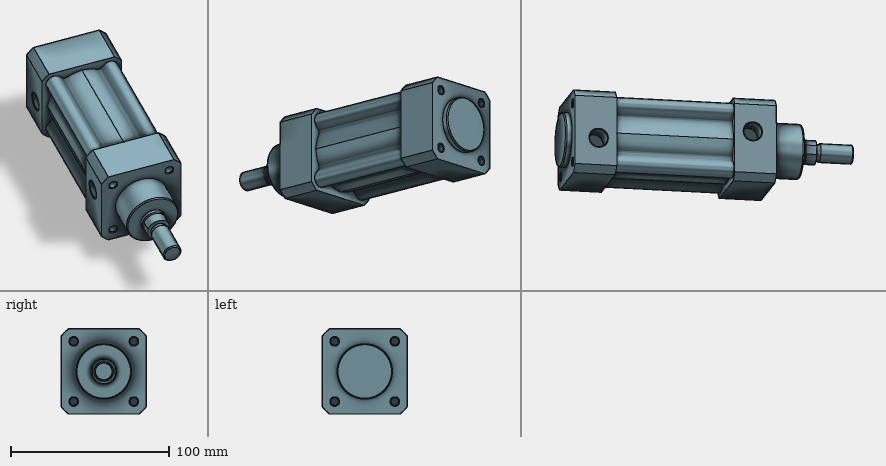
import cadquery as cq
import math

boss_length = 4.1
cap_length = 26.9
barrel_length = 76.0
nose_length = 20.1
total_length = 188.0
rear_cap_start = boss_length
barrel_start = rear_cap_start + cap_length
barrel_end = barrel_start + barrel_length
nose_start = barrel_end + cap_length
rod_start = nose_start + nose_length

cap_side = 54.0
cap_corner_radius = 35.0
spigot_diameter = 35.0
spigot_chamfer_length = 1.0
spigot_chamfer_height = 0.5
screw_spacing = 38.0
screw_hole_diameter = 4.9
screw_hole_depth = 15.0
screw_mouth_diameter = 6.0
port_diameter = 11.5
port_mouth_diameter = 12.5
port_depth = 15.0
port_from_barrel = 11.7
port_offset = 4.7

barrel_radius = 22.7
rib_angles = (45, 135)
rib_radius = 5.3
rib_fillet = 2.5
ridge_half_width = 4.9

collar_radius = 8.0
collar_length = 2.0
shank_radius = 7.7
shank_cone_length = 1.0
shank_end = 10.0
flat_distance = 7.1
flat_entry_distance = 7.9
neck_radius = 5.3
neck_length = 1.3
thread_radius = 6.0
neck_runout = 1.5
tip_chamfer = 0.8


def axial_plane(x):
    """Plane across the axis: local x is Y, local y is Z, normal is +X."""
    return cq.Workplane("YZ", origin=(x, 0, 0))


def countersunk_hole(diameter, mouth_diameter, depth):
    """Cutter along +Z from the origin: a blind hole with a 45 degree countersink at its mouth."""
    countersink = (mouth_diameter - diameter) / 2
    return (
        cq.Workplane("XZ")
        .lineTo(mouth_diameter / 2, 0)
        .lineTo(diameter / 2, countersink)
        .lineTo(diameter / 2, depth)
        .lineTo(0, depth)
        .close()
        .revolve(360, (0, 0, 0), (0, 1, 0))
    )


def make_cap(spigot_length, port_height):
    """End cap with its barrel face at X = 0 and its spigot on the +X side."""
    block = axial_plane(0).rect(cap_side, cap_side).extrude(cap_length)
    block = block.intersect(axial_plane(0).circle(cap_corner_radius).extrude(cap_length))
    spigot_radius = spigot_diameter / 2
    spigot = (
        cq.Workplane("XY", origin=(cap_length, 0, 0))
        .lineTo(0, spigot_radius)
        .lineTo(spigot_length - spigot_chamfer_length, spigot_radius)
        .lineTo(spigot_length, spigot_radius - spigot_chamfer_height)
        .lineTo(spigot_length, 0)
        .close()
        .revolve(360, (0, 0, 0), (1, 0, 0))
    )
    cap = block.union(spigot)

    screw_cutter = countersunk_hole(screw_hole_diameter, screw_mouth_diameter, screw_hole_depth)
    screw_cutter = screw_cutter.rotate((0, 0, 0), (0, 1, 0), -90)
    for y_side in (-1, 1):
        for z_side in (-1, 1):
            place = (cap_length, y_side * screw_spacing / 2, z_side * screw_spacing / 2)
            cap = cap.cut(screw_cutter.translate(place))

    port_cutter = countersunk_hole(port_diameter, port_mouth_diameter, port_depth)
    port_cutter = port_cutter.rotate((0, 0, 0), (1, 0, 0), -90)
    return cap.cut(port_cutter.translate((port_from_barrel, -cap_side / 2, port_height)))


def make_rear_cap():
    """Rear cap: faces backwards, with a short boss and its port below the axis."""
    cap = make_cap(boss_length, -port_offset)
    return cap.mirror("YZ").translate((barrel_start, 0, 0))


def make_front_cap():
    """Front cap: carries the long nose and has its port above the axis."""
    return make_cap(nose_length, port_offset).translate((barrel_end, 0, 0))


def round_rib_roots(body):
    """Fillet the concave corners where the rib flanks meet the round barrel."""
    root_angle = math.radians(rib_angles[0]) - math.asin(rib_radius / barrel_radius)
    root_near = barrel_radius * math.sin(root_angle)
    root_far = barrel_radius * math.cos(root_angle)
    middle = (barrel_start + barrel_end) / 2
    roots = body.newObject([])
    for y_side in (-1, 1):
        for z_side in (-1, 1):
            for y, z in ((root_near, root_far), (root_far, root_near)):
                nearest = cq.selectors.NearestToPointSelector((middle, y_side * y, z_side * z))
                roots = roots.add(body.edges("|X").edges(nearest))
    return roots.fillet(rib_fillet)


def make_barrel():
    """Round barrel with a round-ended rib on each diagonal and a low ridge along each side."""
    core = axial_plane(barrel_start).circle(barrel_radius).extrude(barrel_length)
    rib_span = screw_spacing * math.sqrt(2) + 2 * rib_radius
    for angle in rib_angles:
        ribs = axial_plane(barrel_start).slot2D(rib_span, 2 * rib_radius, angle)
        core = core.union(ribs.extrude(barrel_length))
    body = round_rib_roots(core)

    ridge_angle = math.asin(ridge_half_width / barrel_radius)
    ridge_foot = barrel_radius * math.cos(ridge_angle)
    ridge_peak = barrel_radius / math.cos(ridge_angle)
    ridge = (
        axial_plane(barrel_start)
        .lineTo(ridge_foot, -ridge_half_width)
        .lineTo(ridge_peak, 0)
        .lineTo(ridge_foot, ridge_half_width)
        .close()
        .extrude(barrel_length)
    )
    for side in range(4):
        body = body.union(ridge.rotate((0, 0, 0), (1, 0, 0), 90 * side))
    return body


def make_rod():
    """Stepped piston rod with two wrench flats and a plain threaded end."""
    cone_end = collar_length + shank_cone_length
    neck_end = shank_end + neck_length
    thread_start = neck_end + neck_runout
    rod_length = total_length - rod_start
    body = (
        cq.Workplane("XY")
        .lineTo(0, collar_radius)
        .lineTo(collar_length, collar_radius)
        .lineTo(cone_end, shank_radius)
        .lineTo(shank_end, shank_radius)
        .lineTo(shank_end, neck_radius)
        .lineTo(neck_end, neck_radius)
        .tangentArcPoint((thread_start, thread_radius), relative=False)
        .lineTo(rod_length - tip_chamfer, thread_radius)
        .lineTo(rod_length, thread_radius - tip_chamfer)
        .lineTo(rod_length, 0)
        .close()
        .revolve(360, (0, 0, 0), (1, 0, 0))
    )
    flat_cutter = (
        cq.Workplane("XY", origin=(0, 0, -collar_radius))
        .moveTo(collar_length, collar_radius)
        .lineTo(collar_length, flat_entry_distance)
        .lineTo(cone_end, flat_distance)
        .lineTo(shank_end, flat_distance)
        .lineTo(shank_end, collar_radius)
        .close()
        .extrude(2 * collar_radius)
    )
    body = body.cut(flat_cutter).cut(flat_cutter.mirror("XZ"))
    return body.translate((rod_start, 0, 0))


rear_cap = make_rear_cap()
barrel = make_barrel()
front_cap = make_front_cap()
rod = make_rod()
result = cq.Compound.makeCompound([rear_cap.val(), barrel.val(), front_cap.val(), rod.val()])